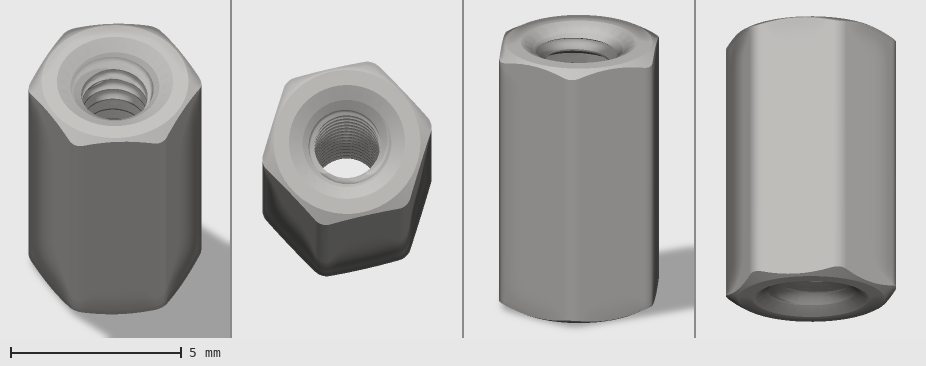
import cadquery as cq
import math

length = 8.0
hexagon_sides = 6
across_flats = 4.5
corner_fillet = 0.45

face_diameter = 4.3
chamfer_angle = 30.0

minor_radius = 0.956
major_radius = 1.3
pitch = 0.45
flank_angle = 30.0
countersink_radius = 1.7
countersink_angle = 30.0
lead_in_angle = 45.0
groove_overlap = 0.03
groove_start_angle = -90.0

across_corners = across_flats / math.cos(math.pi / hexagon_sides)


def rise(run, angle):
    """Height gained over a radial run on a slope of the given angle."""
    return run * math.tan(math.radians(angle))


countersink_depth = rise(countersink_radius - major_radius, countersink_angle)
lead_in_depth = rise(major_radius - minor_radius, lead_in_angle)


def hexagon_bar():
    """Hexagonal prism with rounded vertical edges and corners toward +X and -X."""
    prism = cq.Workplane("XY").polygon(hexagon_sides, across_corners).extrude(length)
    return prism.edges("|Z").fillet(corner_fillet)


def chamfer_envelope():
    """Turned blank, coned at both ends, that trims the corners of the bar."""
    face_radius = face_diameter / 2
    blank_radius = across_corners / 2
    cone_height = rise(blank_radius - face_radius, chamfer_angle)
    outline = (
        cq.Workplane("XZ")
        .moveTo(0, 0)
        .lineTo(face_radius, 0)
        .lineTo(blank_radius, cone_height)
        .lineTo(blank_radius, length - cone_height)
        .lineTo(face_radius, length)
        .lineTo(0, length)
        .close()
    )
    return outline.revolve(360, (0, 0, 0), (0, 1, 0))


def plain_bore():
    """Void of the hole before threading: minor bore, lead-in cones and countersinks."""
    bore_end = countersink_depth + lead_in_depth
    outline = (
        cq.Workplane("XZ")
        .moveTo(0, 0)
        .lineTo(countersink_radius, 0)
        .lineTo(major_radius, countersink_depth)
        .lineTo(minor_radius, bore_end)
        .lineTo(minor_radius, length - bore_end)
        .lineTo(major_radius, length - countersink_depth)
        .lineTo(countersink_radius, length)
        .lineTo(0, length)
        .close()
    )
    return outline.revolve(360, (0, 0, 0), (0, 1, 0))


def helix(radius, start_height, turns):
    """Right-handed helix of the thread pitch, starting on the +X side."""
    return cq.Wire.makeHelix(pitch, turns * pitch, radius).translate(cq.Vector(0, 0, start_height))


def thread_groove():
    """Right-hand V groove, running from below the lower lead-in to above the upper one."""
    threaded_length = length - 2 * countersink_depth
    turns = math.ceil(threaded_length / pitch) + 1
    groove_top = length - countersink_depth + pitch / 2
    groove_bottom = groove_top - turns * pitch
    inner_radius = minor_radius - groove_overlap
    half_width = rise(major_radius - inner_radius, flank_angle)

    corners = [(inner_radius, -half_width), (major_radius, 0), (inner_radius, half_width)]
    helices = [helix(radius, height, turns) for radius, height in corners]
    faces = [cq.Face.makeRuledSurface(helices[i - 1], helices[i]) for i in range(len(helices))]
    for end_height in (0, turns * pitch):
        end_corners = [cq.Vector(radius, 0, height + end_height) for radius, height in corners]
        faces.append(cq.Face.makeFromWires(cq.Wire.makePolygon(end_corners, close=True)))
    groove = cq.Workplane(obj=cq.Solid.makeSolid(cq.Shell.makeShell(faces)))

    end_angle = groove_start_angle + 180
    return groove.rotate((0, 0, 0), (0, 0, 1), end_angle).translate((0, 0, groove_bottom))


body = hexagon_bar().intersect(chamfer_envelope())
result = body.cut(plain_bore()).cut(thread_groove())